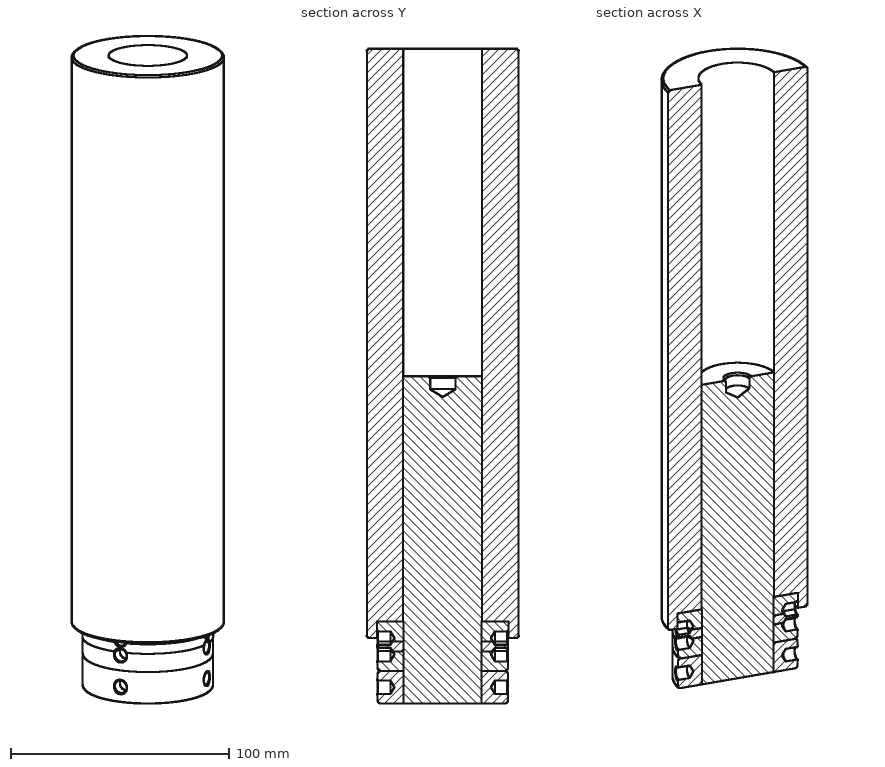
import cadquery as cq
import math

TOTAL_LENGTH = 300.0
SLEEVE_DIAMETER = 70.0
SLEEVE_CHAMFER = 1.0
BORE_DIAMETER = 36.0

RING_DIAMETER = 60.0
RING_ROUND = 1.5
NUT_HEIGHT = 15.0
SLEEVE_BOTTOM = 2 * NUT_HEIGHT
SPACER_BOTTOM = 1.5 * NUT_HEIGHT + RING_ROUND
SPACER_TOP = SLEEVE_BOTTOM - RING_ROUND
SEAT_TOP = 2.5 * NUT_HEIGHT

SPANNER_DIAMETER = 6.0
SPANNER_DEPTH = 6.0
SPANNER_RIM = 0.45
SPANNER_HOLES_PER_ROW = 4
LOWER_ROW = 0.5 * NUT_HEIGHT
MIDDLE_ROW = 1.5 * NUT_HEIGHT
UPPER_ROW = 2.0 * NUT_HEIGHT

ROD_TOP = TOTAL_LENGTH / 2
CENTRE_DIAMETER = 11.5
CENTRE_DEPTH = 6.0
CENTRE_RIM = 1.0

DRILL_POINT_ANGLE = 118.0


def cylinder(diameter, bottom, top):
    return cq.Workplane("XY").workplane(offset=bottom).circle(diameter / 2).extrude(top - bottom)


def drill(diameter, depth, rim):
    """Cutter pointing down from Z = 0: chamfered rim, straight shank and conical point."""
    radius = diameter / 2
    point_length = radius / math.tan(math.radians(DRILL_POINT_ANGLE / 2))
    profile = (
        cq.Workplane("XZ")
        .lineTo(radius + rim, 0)
        .lineTo(radius, -rim)
        .lineTo(radius, -depth)
        .lineTo(0, -depth - point_length)
        .close()
    )
    return profile.revolve(360, (0, 0, 0), (0, 1, 0))


def cut_spanner_row(body, height):
    """Cut one row of radial blind holes around the ring diameter."""
    cutter = (
        drill(SPANNER_DIAMETER, SPANNER_DEPTH, SPANNER_RIM)
        .rotate((0, 0, 0), (0, 1, 0), 90)
        .translate((RING_DIAMETER / 2, 0, height))
    )
    for index in range(SPANNER_HOLES_PER_ROW):
        angle = index * 360 / SPANNER_HOLES_PER_ROW
        body = body.cut(cutter.rotate((0, 0, 0), (0, 0, 1), angle))
    return body


def make_ring(bottom, top, hole_rows, rounded_faces=None):
    """Ring around the rod, with optional rounded outer edges and rows of spanner holes."""
    body = cylinder(RING_DIAMETER, bottom, top)
    if rounded_faces:
        body = body.faces(rounded_faces).edges().fillet(RING_ROUND)
    body = body.cut(cylinder(BORE_DIAMETER, bottom, top))
    for height in hole_rows:
        body = cut_spanner_row(body, height)
    return body


def make_sleeve():
    """Long tube with a recess in its lower end for the seat ring."""
    body = cylinder(SLEEVE_DIAMETER, SLEEVE_BOTTOM, TOTAL_LENGTH)
    body = body.faces("<Z or >Z").edges().chamfer(SLEEVE_CHAMFER)
    bore = cylinder(BORE_DIAMETER, SLEEVE_BOTTOM, TOTAL_LENGTH)
    seat_recess = cylinder(RING_DIAMETER, SLEEVE_BOTTOM, SEAT_TOP)
    return body.cut(bore).cut(seat_recess)


def make_rod():
    centre_hole = drill(CENTRE_DIAMETER, CENTRE_DEPTH, CENTRE_RIM).translate((0, 0, ROD_TOP))
    return cylinder(BORE_DIAMETER, 0, ROD_TOP).cut(centre_hole)


sleeve = make_sleeve()
rod = make_rod()
lower_nut = make_ring(0, NUT_HEIGHT, [LOWER_ROW], "<Z or >Z")
upper_nut = make_ring(NUT_HEIGHT, SPACER_BOTTOM, [MIDDLE_ROW], "<Z")
spacer = make_ring(SPACER_BOTTOM, SPACER_TOP, [MIDDLE_ROW, UPPER_ROW])
seat_ring = make_ring(SPACER_TOP, SEAT_TOP, [UPPER_ROW])

result = cq.Compound.makeCompound(
    [
        sleeve.solids().val(),
        rod.solids().val(),
        lower_nut.solids().val(),
        upper_nut.solids().val(),
        spacer.solids().val(),
        seat_ring.solids().val(),
    ]
)